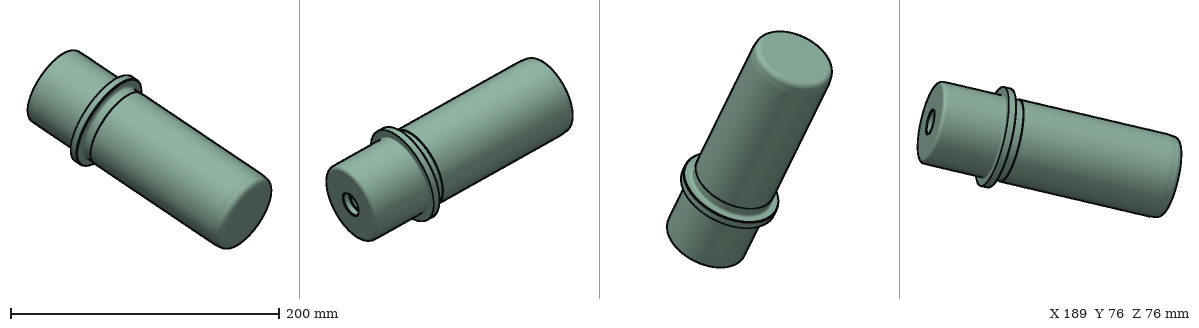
import cadquery as cq
import math

length = 189.0
body_radius = 31.5
flange_radius = 38.0

head_fillet = 3.0
head_lead_depth = 0.1
head_lead_radius = body_radius - head_lead_depth
head_lead_end = 9.8

flange_start = 49.0
flange_width = 6.0
flange_end = flange_start + flange_width
flange_edge = 0.5
flange_fillet = 0.8

undercut_radius = 31.2
undercut_fillet = 2.0
undercut_end = 63.0
undercut_lead = body_radius - undercut_radius

taper_start = 179.7
tip_radius = 31.0
tip_round = 4.5

counterbore_radius = 9.0
counterbore_depth = 5.7
mouth_chamfer = 0.5
drill_radius = 7.4
drill_depth = 30.2
drill_point_angle = 118.0
drill_point = drill_radius / math.tan(math.radians(drill_point_angle / 2))

diagonal = math.sqrt(0.5)


def make_body():
    """Revolve the outer profile around the X axis."""
    profile = (
        cq.Workplane("XY")
        .lineTo(0, head_lead_radius - head_fillet)
        .threePointArc(
            (head_fillet * (1 - diagonal), head_lead_radius - head_fillet * (1 - diagonal)),
            (head_fillet, head_lead_radius),
        )
        .lineTo(head_lead_end, body_radius)
        .lineTo(flange_start - flange_fillet, body_radius)
        .threePointArc(
            (
                flange_start - flange_fillet * (1 - diagonal),
                body_radius + flange_fillet * (1 - diagonal),
            ),
            (flange_start, body_radius + flange_fillet),
        )
        .lineTo(flange_start, flange_radius)
        .lineTo(flange_end - flange_edge, flange_radius)
        .lineTo(flange_end, flange_radius - flange_edge)
        .lineTo(flange_end, undercut_radius + undercut_fillet)
        .threePointArc(
            (
                flange_end + undercut_fillet * (1 - diagonal),
                undercut_radius + undercut_fillet * (1 - diagonal),
            ),
            (flange_end + undercut_fillet, undercut_radius),
        )
        .lineTo(undercut_end - undercut_lead, undercut_radius)
        .lineTo(undercut_end, body_radius)
        .lineTo(taper_start, body_radius)
        .lineTo(length - tip_round, tip_radius)
        .threePointArc(
            (length - tip_round * (1 - diagonal), tip_radius - tip_round * (1 - diagonal)),
            (length, tip_radius - tip_round),
        )
        .lineTo(length, 0)
        .close()
    )
    return profile.revolve(360, (0, 0), (1, 0))


def make_hole():
    """Revolve the chamfered counterbore and the drilled hole with its conical end."""
    profile = (
        cq.Workplane("XY")
        .lineTo(0, counterbore_radius + mouth_chamfer)
        .lineTo(mouth_chamfer, counterbore_radius)
        .lineTo(counterbore_depth, counterbore_radius)
        .lineTo(counterbore_depth, drill_radius)
        .lineTo(drill_depth, drill_radius)
        .lineTo(drill_depth + drill_point, 0)
        .close()
    )
    return profile.revolve(360, (0, 0), (1, 0))


result = make_body().cut(make_hole())